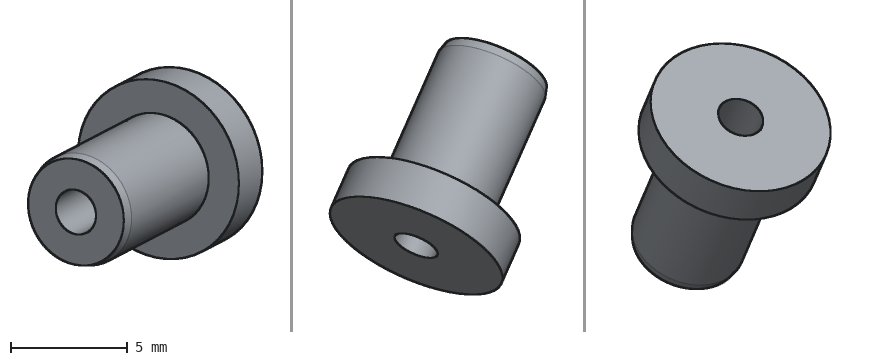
import cadquery as cq
import math

total_length = 9.0
head_diameter = 8.0
head_thickness = 2.0
shank_diameter = 5.0
bore_diameter = 2.0
lead_in_length = 0.45
lead_in_angle = 15.0

head_radius = head_diameter / 2
shank_radius = shank_diameter / 2
bore_radius = bore_diameter / 2
tip_radius = shank_radius - lead_in_length * math.tan(math.radians(lead_in_angle))
head_underside = total_length - head_thickness

half_section = (
    cq.Workplane("XY")
    .moveTo(bore_radius, 0)
    .lineTo(tip_radius, 0)
    .lineTo(shank_radius, lead_in_length)
    .lineTo(shank_radius, head_underside)
    .lineTo(head_radius, head_underside)
    .lineTo(head_radius, total_length)
    .lineTo(bore_radius, total_length)
    .close()
)
result = half_section.revolve(360, (0, 0, 0), (0, 1, 0))